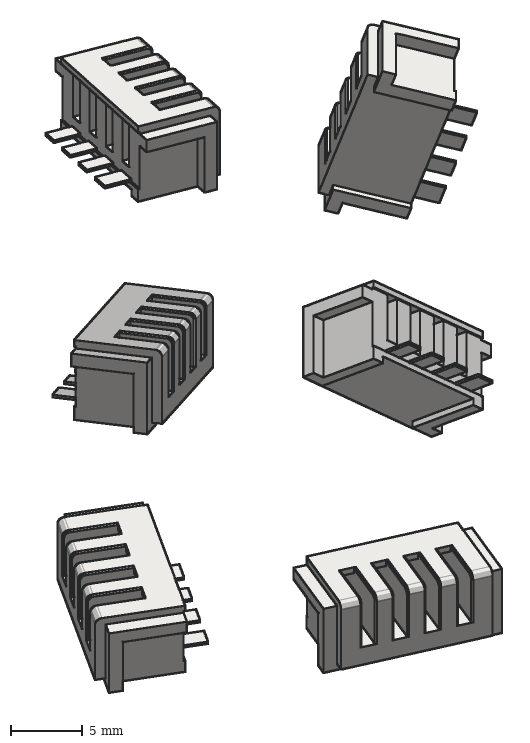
import cadquery as cq

total_width = 13.5
total_depth = 8.5
total_height = 6.02

wall = 1.0
half_wall = wall / 2
body_width = 11.46
lip = 0.12
contact_reach = 2.0
rear_round = half_wall
plate_bottom = total_height - half_wall

lip_front = contact_reach
body_front = lip_front + lip
rear = total_depth
flange_rear = rear - 0.77

flange_top = 5.4
flange_thickness = 0.97

slot_count = 4
slot_pitch = 2.43
slot_width = wall
slot_floor = 2.0
slot_open_length = 4.0
slot_chamfer = 0.12

contact_thickness = 0.2
contact_width = 1.24
end_contact_extra = 0.24


def block(x_range, y_range, z_range):
    """Box between two limits along each axis."""
    (x0, x1), (y0, y1), (z0, z1) = x_range, y_range, z_range
    return cq.Workplane("XY").box(x1 - x0, y1 - y0, z1 - z0, centered=False).translate((x0, y0, z0))


def slot_center(index):
    return (index - (slot_count - 1) / 2) * slot_pitch


def extrude_side_profile(points, width):
    """Extrude a (Y, Z) outline symmetrically about X = 0."""
    return cq.Workplane("YZ").polyline(points).close().extrude(width / 2, both=True)


def make_body():
    """Main block with front lips, a rounded rear top edge and four chamfered slots."""
    outline = [
        (lip_front, half_wall),
        (rear, half_wall),
        (rear, total_height),
        (lip_front, total_height),
        (lip_front, plate_bottom),
        (body_front, plate_bottom),
        (body_front, wall),
        (lip_front, wall),
    ]
    body = extrude_side_profile(outline, body_width)
    body = body.edges(">Y and >Z").fillet(rear_round)

    slot_front = rear - slot_open_length
    slot_outline = [
        (body_front, slot_floor),
        (rear, slot_floor),
        (rear, total_height),
        (slot_front, total_height),
        (slot_front, plate_bottom),
        (body_front, plate_bottom),
    ]
    slot = extrude_side_profile(slot_outline, slot_width)
    for index in range(slot_count):
        body = body.cut(slot.translate((slot_center(index), 0, 0)))

    slot_edges = body.faces(">Z").edges("|Y and (not >X) and (not <X)")
    return slot_edges.chamfer(slot_chamfer)


def make_side():
    """+X side: top flange, rear post and the foot under the body."""
    inner = body_width / 2
    side_x = (inner, total_width / 2)
    flange = block(side_x, (body_front, flange_rear), (flange_top - flange_thickness, flange_top))
    post = block(side_x, (flange_rear - wall, flange_rear), (0, flange_top))
    foot = block((inner - wall, inner), (lip_front, flange_rear), (0, half_wall))
    return flange.union(post).union(foot)


def make_contact(index):
    """Flat contact tail resting on the front ledge."""
    left = slot_center(index) - contact_width / 2
    right = left + contact_width
    if index == slot_count - 1:
        right += end_contact_extra
    return block((left, right), (0, body_front), (wall, wall + contact_thickness))


side = make_side()
result = make_body().union(side).union(side.mirror("YZ"))
for contact_index in range(slot_count):
    result = result.union(make_contact(contact_index))